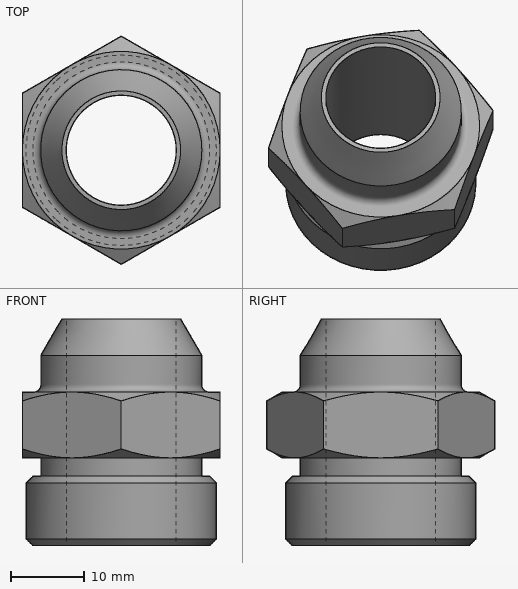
import cadquery as cq
import math

bore_diameter = 15.0
mouth_diameter = 16.2
body_diameter = 22.0
thread_diameter = 26.0

hex_across_corners = 31.18
hex_across_flats = hex_across_corners * math.cos(math.radians(30))
hex_chamfer_angle = 30.0

thread_top = 9.5
hex_bottom = 12.0
hex_top = 20.98
cone_bottom = 26.0
total_height = 31.0

thread_chamfer = 0.95
root_fillet = 1.0


def revolved_body():
    """Thread, relief neck, filleted spigot and cone as one solid of revolution."""
    body_radius = body_diameter / 2
    thread_radius = thread_diameter / 2
    chamfered_radius = thread_radius - thread_chamfer
    arc_inset = root_fillet * (1 - math.sqrt(0.5))
    return (
        cq.Workplane("XZ")
        .lineTo(chamfered_radius, 0)
        .lineTo(thread_radius, thread_chamfer)
        .lineTo(thread_radius, thread_top - thread_chamfer)
        .lineTo(chamfered_radius, thread_top)
        .lineTo(body_radius, thread_top)
        .lineTo(body_radius, hex_top)
        .lineTo(body_radius + root_fillet, hex_top)
        .threePointArc(
            (body_radius + arc_inset, hex_top + arc_inset),
            (body_radius, hex_top + root_fillet),
        )
        .lineTo(body_radius, cone_bottom)
        .lineTo(mouth_diameter / 2, total_height)
        .lineTo(0, total_height)
        .close()
        .revolve(360, (0, 0, 0), (0, 1, 0))
    )


def hexagon():
    """Hexagon with corners on Y and both faces turned down to the flats' circle."""
    flat_radius = hex_across_flats / 2
    corner_radius = hex_across_corners / 2
    corner_drop = (corner_radius - flat_radius) * math.tan(math.radians(hex_chamfer_angle))
    prism = (
        cq.Workplane("XY", origin=(0, 0, hex_bottom))
        .transformed(rotate=(0, 0, 90))
        .polygon(6, hex_across_corners)
        .extrude(hex_top - hex_bottom)
    )
    turned_envelope = (
        cq.Workplane("XZ")
        .moveTo(0, hex_bottom)
        .lineTo(flat_radius, hex_bottom)
        .lineTo(corner_radius, hex_bottom + corner_drop)
        .lineTo(corner_radius, hex_top - corner_drop)
        .lineTo(flat_radius, hex_top)
        .lineTo(0, hex_top)
        .close()
        .revolve(360, (0, 0, 0), (0, 1, 0))
    )
    return prism.intersect(turned_envelope)


bore = cq.Workplane("XY").circle(bore_diameter / 2).extrude(total_height)

result = revolved_body().union(hexagon()).cut(bore)